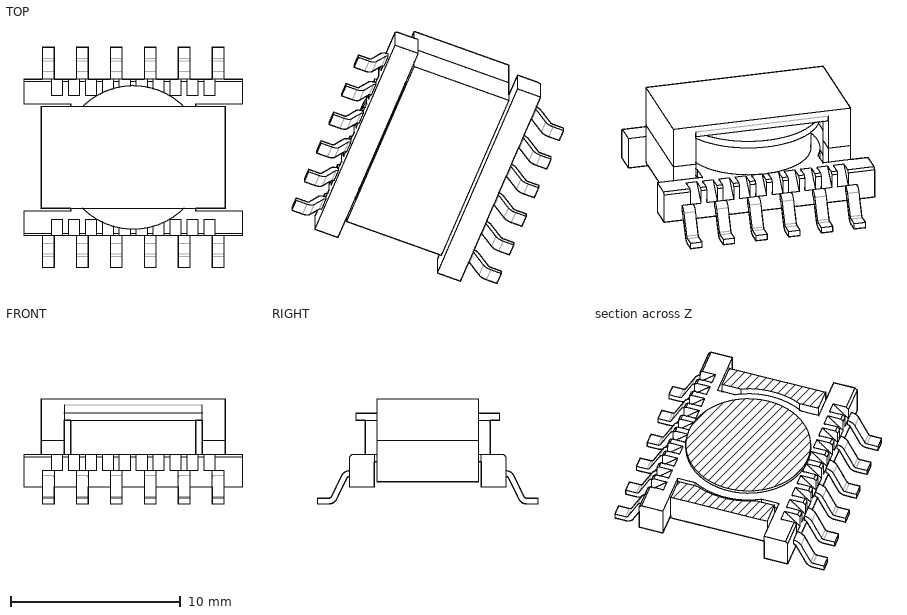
import cadquery as cq
import math

height = 6.2
rail_bottom = 1.0
deck_top = 2.92
flange_top = 5.35
flange_thickness = 0.43

core_length = 10.85
core_width = 6.0
core_half_height = 2.45
parting_z = height - core_half_height
window_length = 8.11
window_depth = flange_top - parting_z
window_edge_radius = 0.5
leg_recess_radius = 4.45

winding_diameter = 7.38
flange_diameter = 8.46
deck_thickness = 0.44

rail_length = 12.9
rail_outer_y = 4.62
rail_inner_y = 3.15
rail_chamfer = 0.14

notch_count = 10
notch_pitch = 1.0
notch_width = 0.65
notch_reach = 0.96
notch_lip = 0.06

pins_per_rail = 6
pin_pitch = 2.0
pin_width = 0.7
pin_thickness = 0.35
pin_tip_y = 6.5
pin_root_z = 1.8
pin_bend_radius = 0.34
pin_slope = math.radians(64)


def centred_positions(count, pitch):
    """Evenly spaced positions, symmetric about zero."""
    return [(i - (count - 1) / 2) * pitch for i in range(count)]


def make_core_half():
    """Lower core half with its legs pointing up to the parting plane."""
    parting_plane = cq.Workplane("XY", origin=(0, 0, parting_z))
    block = parting_plane.rect(core_length, core_width).extrude(-core_half_height)
    window = parting_plane.rect(window_length, core_width).extrude(-window_depth)
    half = block.cut(window)

    floor_z = parting_z - window_depth
    for y in (-core_width / 2, core_width / 2):
        edge = cq.selectors.NearestToPointSelector((0, y, floor_z))
        half = half.edges("|X").edges(edge).fillet(window_edge_radius)

    recess = parting_plane.circle(leg_recess_radius).extrude(-window_depth)
    return half.cut(recess)


def make_rail():
    """Terminal rail on the +Y side, with its chamfered top edge."""
    return (
        cq.Workplane("YZ", origin=(-rail_length / 2, 0, 0))
        .moveTo(rail_inner_y, rail_bottom)
        .lineTo(rail_outer_y, rail_bottom)
        .lineTo(rail_outer_y, deck_top - rail_chamfer)
        .lineTo(rail_outer_y - rail_chamfer, deck_top)
        .lineTo(rail_inner_y, deck_top)
        .close()
        .extrude(rail_length)
    )


def make_notch(x):
    """Cutter for one wire notch on the +Y side."""
    return (
        cq.Workplane("YZ", origin=(x - notch_width / 2, 0, 0))
        .moveTo(rail_outer_y, deck_top)
        .lineTo(rail_outer_y - notch_reach, deck_top)
        .lineTo(rail_outer_y - notch_reach + notch_lip, deck_top - notch_lip)
        .lineTo(rail_outer_y - notch_lip, deck_top - notch_reach + notch_lip)
        .lineTo(rail_outer_y, deck_top - notch_reach)
        .close()
        .extrude(notch_width)
    )


def make_pin(x):
    """Gull-wing terminal on the +Y side, swept along its centre line."""
    foot_z = pin_thickness / 2
    bend_run = pin_bend_radius * math.sin(pin_slope)
    bend_drop = pin_bend_radius * (1 - math.cos(pin_slope))
    half_run = pin_bend_radius * math.sin(pin_slope / 2)
    half_drop = pin_bend_radius * (1 - math.cos(pin_slope / 2))
    slope_drop = pin_root_z - foot_z - 2 * bend_drop
    slope_run = slope_drop / math.tan(pin_slope)
    bends_end_y = rail_outer_y + 2 * bend_run + slope_run

    centre_line = (
        cq.Workplane("YZ", origin=(x, 0, 0))
        .moveTo(rail_outer_y, pin_root_z)
        .threePointArc(
            (rail_outer_y + half_run, pin_root_z - half_drop),
            (rail_outer_y + bend_run, pin_root_z - bend_drop),
        )
        .lineTo(bends_end_y - bend_run, foot_z + bend_drop)
        .threePointArc((bends_end_y - half_run, foot_z + half_drop), (bends_end_y, foot_z))
        .lineTo(pin_tip_y, foot_z)
    )
    section = cq.Workplane("XZ", origin=(x, rail_outer_y, pin_root_z)).rect(pin_width, pin_thickness)
    return section.sweep(centre_line)


def make_bobbin():
    """Winding, flanges, rails and terminals as one moulded body."""
    deck_plane = cq.Workplane("XY", origin=(0, 0, deck_top))
    top_plane = cq.Workplane("XY", origin=(0, 0, flange_top))
    winding = deck_plane.circle(winding_diameter / 2).extrude(flange_top - deck_top)
    upper_flange = top_plane.circle(flange_diameter / 2).extrude(-flange_thickness)
    lower_flange = deck_plane.circle(flange_diameter / 2).extrude(-deck_thickness)
    deck = deck_plane.rect(winding_diameter, 2 * rail_inner_y).extrude(-deck_thickness)

    rail = make_rail()
    bobbin = winding.union(upper_flange).union(lower_flange).union(deck)
    bobbin = bobbin.union(rail).union(rail.mirror("XZ"))

    for x in centred_positions(notch_count, notch_pitch):
        notch = make_notch(x)
        bobbin = bobbin.cut(notch).cut(notch.mirror("XZ"))

    for x in centred_positions(pins_per_rail, pin_pitch):
        pin = make_pin(x)
        bobbin = bobbin.union(pin).union(pin.mirror("XZ"))
    return bobbin


lower_core = make_core_half()
upper_core = lower_core.mirror("XY", (0, 0, parting_z))
bobbin = make_bobbin()

result = cq.Compound.makeCompound([body.solids().val() for body in (lower_core, upper_core, bobbin)])